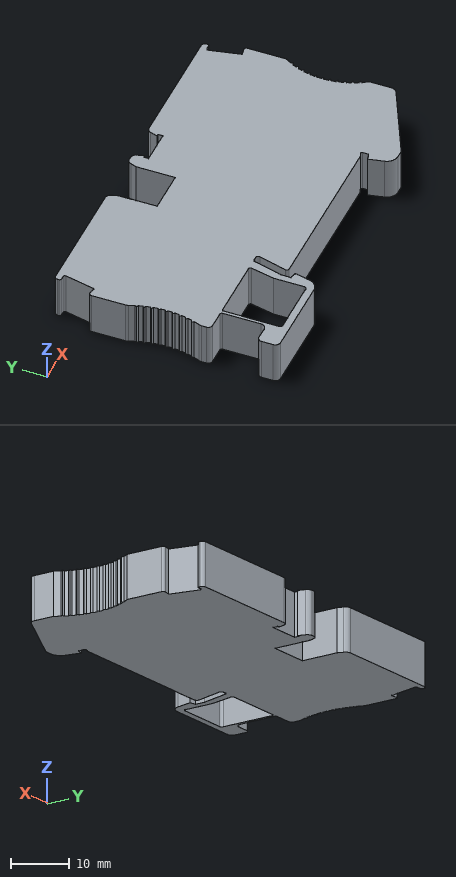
import cadquery as cq
import math

LENGTH = 69.5
HEIGHT = 42.2
THICKNESS = 8.2
HALF_LENGTH = LENGTH / 2

LIP_X = 33.1
LIP_BOTTOM_Y = 40.95
LIP_TOP_RADIUS = 0.7
LIP_UNDER_RADIUS = 0.35
NECK_TOP_X = 31.6
NECK_FOOT_X = 32.95
NECK_RADIUS = 0.35
SHOULDER_Y = 34.8
SHOULDER_RIM_Y = 35.2
SHOULDER_RADIUS = 0.5

SLOT_LEFT_X = -9.05
SLOT_RIGHT_X = -1.0
SLOT_FLOOR_Y = 33.1
SLOT_BEVEL_Y = 40.3
SLOT_BEVEL_RUN = 0.6

NOTCH_LEFT_X = 1.9
NOTCH_RIGHT_X = 8.2
NOTCH_FLOOR_Y = 39.2
NOTCH_BARB_Y = 40.1
NOTCH_BARB = 0.4
NOTCH_FLARE = 0.6
TOP_CORNER_RADIUS = 1.05

SEAT_Y = 6.0
SEAT_RADIUS = 0.4
HOOK_RECESS_X = 17.3
HOOK_RECESS_Y = 4.85
HOOK_TIP_X = 16.05
HOOK_TIP_Y = 4.6
HOOK_TOE_X = 17.0
HOOK_TOE_RADIUS = 2.1
UNDERCUT_X = 16.25
UNDERCUT_Y = 6.4
UNDERCUT_RADIUS = 0.3

RAMP_START_X = 20.15
RAMP_END_Y = 7.1
RAMP_START_RADIUS = 1.05
RAMP_END_RADIUS = 1.45

BODY_BOTTOM_Y = 12.45
BODY_CORNER_RADIUS = 0.8
FOOT_LEFT_X = -34.55
FOOT_TOP_Y = 3.95
FOOT_TOP_RADIUS = 0.8
FOOT_BOTTOM_RADIUS = 1.0
LEG_OUTER_X = -30.4
LEG_TOP_RADIUS = 0.35
LEG_FOOT_RADIUS = 1.05

SLIT_TILT = math.tan(math.radians(15))
SLIT_BEND_Y = 6.7
SLIT_WIDTH_X = 1.5
SLIT_END_RADIUS = 0.5

WINDOW_LEFT_X = -29.75
WINDOW_RIGHT_X = -18.6
WINDOW_TOP_RIGHT_X = -17.6
WINDOW_BOTTOM_Y = 1.4
WINDOW_BEND_Y = 7.5
WINDOW_TOP_RADIUS = 0.35
WINDOW_BOTTOM_RADIUS = 0.5

RIDGE_PITCH = 1.3
RIDGE_HEIGHT = 0.35
RIDGE_WIDTH = 0.55
RIDGE_ROOT = 0.15
LEFT_GRIP_Y = 21.2
LEFT_GRIP_RADIUS = 17.3
LEFT_GRIP_DEPTH = 1.4
LEFT_GRIP_MOUTH_RADIUS = 1.4
LEFT_RIDGES = 9
RIGHT_GRIP_Y = 19.7
RIGHT_GRIP_RADIUS = 13.6
RIGHT_GRIP_DEPTH = 2.35
RIGHT_RIDGES = 11


def rounded_prism(corners):
    """Extrude a closed outline of (x, y, radius) corners; radius 0 leaves a corner sharp."""
    stretches = []
    for i, (x, y, radius) in enumerate(corners):
        corner = cq.Vector(x, y)
        before = cq.Vector(*corners[i - 1][:2])
        after = cq.Vector(*corners[(i + 1) % len(corners)][:2])
        to_before = (before - corner).normalized()
        to_after = (after - corner).normalized()
        half_angle = to_before.getAngle(to_after) / 2
        tangent_length = radius / math.tan(half_angle)
        apex_gap = radius / math.sin(half_angle) - radius
        bisector = (to_before + to_after).normalized()
        start = corner + to_before * tangent_length
        middle = corner + bisector * apex_gap
        end = corner + to_after * tangent_length
        stretches.append((radius, start, middle, end))

    outline = cq.Workplane("XY").moveTo(*stretches[-1][3].toTuple()[:2])
    for radius, start, middle, end in stretches:
        outline = outline.lineTo(start.x, start.y)
        if radius > 0:
            outline = outline.threePointArc((middle.x, middle.y), (end.x, end.y))
    return outline.close().extrude(THICKNESS)


def upper_end(side):
    """Lip, neck and shoulder of one end, listed from the top edge down; side is -1 or 1."""
    return [
        (side * LIP_X, HEIGHT, LIP_TOP_RADIUS),
        (side * LIP_X, LIP_BOTTOM_Y, LIP_UNDER_RADIUS),
        (side * NECK_TOP_X, LIP_BOTTOM_Y, NECK_RADIUS),
        (side * NECK_FOOT_X, SHOULDER_Y, 0),
        (side * HALF_LENGTH, SHOULDER_RIM_Y, SHOULDER_RADIUS),
    ]


def hook(side):
    """Rail hook listed from its recess to its toe; side is -1 or 1."""
    return [
        (side * HOOK_RECESS_X, HOOK_RECESS_Y, 0),
        (side * HOOK_TIP_X, HOOK_TIP_Y, 0),
        (side * HOOK_TOE_X, 0, HOOK_TOE_RADIUS),
    ]


def body():
    top_edge = [
        (SLOT_LEFT_X - SLOT_BEVEL_RUN, HEIGHT, TOP_CORNER_RADIUS),
        (SLOT_LEFT_X, SLOT_BEVEL_Y, 0),
        (SLOT_LEFT_X, SLOT_FLOOR_Y, 0),
        (SLOT_RIGHT_X, SLOT_FLOOR_Y, 0),
        (SLOT_RIGHT_X, SLOT_BEVEL_Y, 0),
        (SLOT_RIGHT_X + SLOT_BEVEL_RUN, HEIGHT, TOP_CORNER_RADIUS),
        (NOTCH_LEFT_X + NOTCH_BARB - NOTCH_FLARE, HEIGHT, TOP_CORNER_RADIUS),
        (NOTCH_LEFT_X + NOTCH_BARB, NOTCH_BARB_Y, 0),
        (NOTCH_LEFT_X, NOTCH_BARB_Y, 0),
        (NOTCH_LEFT_X, NOTCH_FLOOR_Y, 0),
        (NOTCH_RIGHT_X, NOTCH_FLOOR_Y, 0),
        (NOTCH_RIGHT_X, NOTCH_BARB_Y, 0),
        (NOTCH_RIGHT_X - NOTCH_BARB, NOTCH_BARB_Y, 0),
        (NOTCH_RIGHT_X - NOTCH_BARB + NOTCH_FLARE, HEIGHT, TOP_CORNER_RADIUS),
    ]
    ramp = [
        (HALF_LENGTH, RAMP_END_Y, RAMP_END_RADIUS),
        (RAMP_START_X, 0, RAMP_START_RADIUS),
    ]
    slit_top_x = -HOOK_RECESS_X + (BODY_BOTTOM_Y - SLIT_BEND_Y) * SLIT_TILT
    slit_mouth_x = -HOOK_RECESS_X + (SEAT_Y - SLIT_BEND_Y) * SLIT_TILT + SLIT_WIDTH_X
    seat = [
        (HOOK_RECESS_X, UNDERCUT_Y, UNDERCUT_RADIUS),
        (UNDERCUT_X, SEAT_Y, 0),
        (slit_mouth_x, SEAT_Y, SEAT_RADIUS),
        (slit_top_x + SLIT_WIDTH_X, BODY_BOTTOM_Y, SLIT_END_RADIUS),
        (slit_top_x, BODY_BOTTOM_Y, SLIT_END_RADIUS),
        (-HOOK_RECESS_X, SLIT_BEND_Y, 0),
    ]
    foot = [
        (FOOT_LEFT_X, 0, FOOT_BOTTOM_RADIUS),
        (FOOT_LEFT_X, FOOT_TOP_Y, FOOT_TOP_RADIUS),
        (LEG_OUTER_X, FOOT_TOP_Y, LEG_FOOT_RADIUS),
        (LEG_OUTER_X, BODY_BOTTOM_Y, LEG_TOP_RADIUS),
        (-HALF_LENGTH, BODY_BOTTOM_Y, BODY_CORNER_RADIUS),
    ]
    right_side = upper_end(1) + ramp + hook(1)[::-1]
    left_side = hook(-1) + foot + upper_end(-1)[::-1]
    return rounded_prism(top_edge + right_side + seat + left_side)


def window():
    return rounded_prism([
        (WINDOW_LEFT_X, BODY_BOTTOM_Y, WINDOW_TOP_RADIUS),
        (WINDOW_TOP_RIGHT_X, BODY_BOTTOM_Y, WINDOW_TOP_RADIUS),
        (WINDOW_RIGHT_X, WINDOW_BEND_Y, 0),
        (WINDOW_RIGHT_X, WINDOW_BOTTOM_Y, WINDOW_BOTTOM_RADIUS),
        (WINDOW_LEFT_X, WINDOW_BOTTOM_Y, WINDOW_BOTTOM_RADIUS),
    ])


def grip_hollow(side, center_y, radius, depth):
    """Cylindrical cutter for one end; side is -1 or 1."""
    center_x = side * (HALF_LENGTH - depth + radius)
    return cq.Workplane("XY").center(center_x, center_y).circle(radius).extrude(THICKNESS)


def grip_ridges(side, center_y, radius, depth, count):
    """Pointed ridges spaced along a grip, each aimed at the axis of its hollow."""
    ridge = (
        cq.Workplane("XY")
        .moveTo(radius - RIDGE_HEIGHT, 0)
        .lineTo(radius, RIDGE_WIDTH / 2)
        .lineTo(radius + RIDGE_ROOT, RIDGE_WIDTH / 2)
        .lineTo(radius + RIDGE_ROOT, -RIDGE_WIDTH / 2)
        .lineTo(radius, -RIDGE_WIDTH / 2)
        .close()
        .extrude(THICKNESS)
    )
    center_x = side * (HALF_LENGTH - depth + radius)
    inward_deg = 180 if side > 0 else 0
    pitch_deg = math.degrees(RIDGE_PITCH / radius)
    ridges = cq.Workplane("XY")
    for i in range(count):
        angle = inward_deg + (i - (count - 1) / 2) * pitch_deg
        ridges = ridges.add(ridge.rotate((0, 0, 0), (0, 0, 1), angle))
    return ridges.translate((center_x, center_y, 0)).combine()


def round_left_mouth(part):
    """Soften the two edges where the left hollow meets the flat end."""
    half_mouth = math.sqrt(LEFT_GRIP_RADIUS**2 - (LEFT_GRIP_RADIUS - LEFT_GRIP_DEPTH) ** 2)
    for mouth_y in (LEFT_GRIP_Y - half_mouth, LEFT_GRIP_Y + half_mouth):
        edge = cq.selectors.NearestToPointSelector((-HALF_LENGTH, mouth_y, THICKNESS / 2))
        part = part.edges("|Z").edges(edge).fillet(LEFT_GRIP_MOUTH_RADIUS)
    return part


left_grip = (-1, LEFT_GRIP_Y, LEFT_GRIP_RADIUS, LEFT_GRIP_DEPTH)
right_grip = (1, RIGHT_GRIP_Y, RIGHT_GRIP_RADIUS, RIGHT_GRIP_DEPTH)

plate = body().cut(window()).cut(grip_hollow(*left_grip)).cut(grip_hollow(*right_grip))
plate = round_left_mouth(plate)
result = (
    plate
    .union(grip_ridges(*left_grip, LEFT_RIDGES))
    .union(grip_ridges(*right_grip, RIGHT_RIDGES))
)